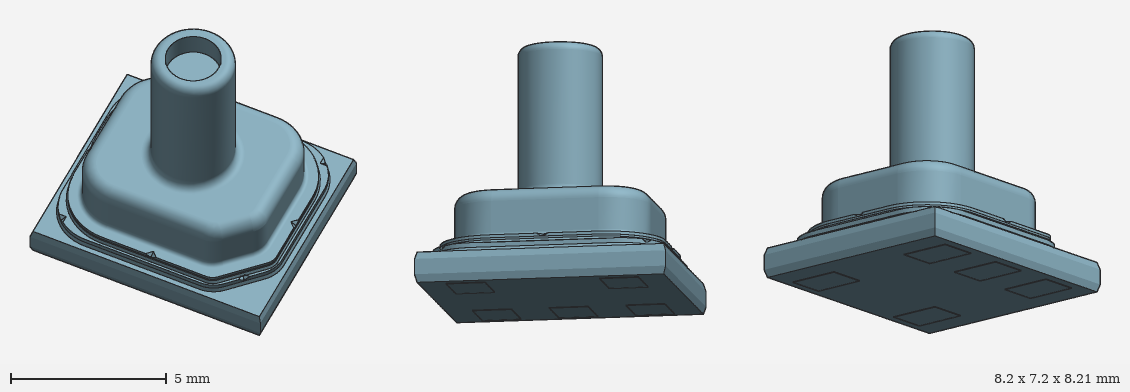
import cadquery as cq
import math

SLAB_X = 8.2
SLAB_Y = 7.2
SLAB_BOTTOM = 0.025
SLAB_TOP = 1.02
BEVEL_HEIGHT = 0.25
BEVEL_INSET = 0.07

LOWER_HALF_X = 3.79
LOWER_HALF_Y = 3.3
LOWER_CORNER_R = 1.5
LOWER_CUT = 1.56
LOWER_CUT_R = 1.0
LOWER_TOP = 1.305
LOWER_SKIRT = 0.13

HAT_HALF_X = 3.19
HAT_HALF_Y = 2.7
HAT_CORNER_R = 1.445
HAT_CUT = 1.215
HAT_CUT_R = 0.8
HAT_TOP = 3.21
HAT_TOP_FILLET = 0.45
HAT_FOOT_FILLET = 0.3 / 2

RIM_WIDTH = 0.47
RIM_HALF_X = HAT_HALF_X + RIM_WIDTH
RIM_HALF_Y = HAT_HALF_Y + RIM_WIDTH
RIM_CORNER_R = HAT_CORNER_R + RIM_WIDTH
RIM_CUT = 1.495
RIM_CUT_R = 0.5
UPPER_TOP = 1.47
UPPER_SKIRT = 0.1
RIM_TOP = UPPER_TOP + 0.1

SKIRT_FLARE = 0.05

TUBE_D = 2.72
TUBE_TOP = 8.21
TUBE_FILLET = 0.295
BORE_D = 1.8
BORE_DEPTH = 0.81

NOTCH_INSET = 0.19
NOTCH_FLOOR_INSET = 0.04
NOTCH_DEPTH = 0.09
NOTCH_OVERRUN = 0.04

PAD_X = 1.27
PAD_Y = 1.73
PAD_PITCH = 2.5
PAD_ROW_Y = 2.34
PAD_PLACES = [
    (-PAD_PITCH, -PAD_ROW_Y),
    (0, -PAD_ROW_Y),
    (PAD_PITCH, -PAD_ROW_Y),
    (-PAD_PITCH, PAD_ROW_Y),
    (PAD_PITCH, PAD_ROW_Y),
]

PICK = 0.01


def rounded_plate(half_x, half_y, corner_r, cut, cut_r, z_bottom, z_top):
    """Plate with three round corners and a rounded 45 degree cut at the +X, -Y corner."""
    corners = [(half_x, half_y), (-half_x, half_y), (-half_x, -half_y)]
    cut_ends = [(half_x - cut, -half_y), (half_x, cut - half_y)]
    z_middle = (z_bottom + z_top) / 2
    plate = (
        cq.Workplane("XY", origin=(0, 0, z_bottom))
        .polyline(corners + cut_ends)
        .close()
        .extrude(z_top - z_bottom)
    )
    for points, radius in [(cut_ends, cut_r), (corners, corner_r)]:
        for x, y in points:
            plate = plate.edges(cq.NearestToPointSelector((x, y, z_middle))).fillet(radius)
    return plate


def rim_plate(z_bottom, z_top):
    """Plate with the outline shared by the rim and the upper step."""
    return rounded_plate(RIM_HALF_X, RIM_HALF_Y, RIM_CORNER_R, RIM_CUT, RIM_CUT_R, z_bottom, z_top)


def on_skirt(plate, height):
    """Add a skirt under a plate that spreads from its outline toward the bottom."""
    flare_angle = math.degrees(math.atan(SKIRT_FLARE / height))
    outline = plate.faces("<Z").wires().toPending().workplane()
    return plate.union(outline.extrude(height, combine=False, taper=-flare_angle))


def cut_notches(body, places, z):
    """Cut V notches into a top edge; each place is an edge point and its inward angle."""
    top_v = NOTCH_INSET + NOTCH_OVERRUN
    floor_v = NOTCH_FLOOR_INSET + NOTCH_OVERRUN
    cutter = (
        cq.Workplane("XY", origin=(-NOTCH_OVERRUN, 0, 0))
        .polyline([(0, -top_v), (top_v, 0), (0, top_v)])
        .close()
        .workplane(offset=-NOTCH_DEPTH)
        .polyline([(0, -floor_v), (floor_v, 0), (0, floor_v)])
        .close()
        .loft(ruled=True)
    )
    for x, y, angle in places:
        body = body.cut(cutter.rotate((0, 0, 0), (0, 0, 1), angle).translate((x, y, z)))
    return body


def fillet_foot(body, z, radius):
    """Fillet round the foot of whatever rises from the flat face at height z."""
    low_corner = (-SLAB_X, -SLAB_Y, z - PICK)
    high_corner = (SLAB_X, SLAB_Y, z + PICK)
    shoulder = body.faces(cq.selectors.BoxSelector(low_corner, high_corner)).val()
    return body.newObject(shoulder.innerWires()[0].Edges()).fillet(radius)


def make_slab():
    bevel_angle = math.degrees(math.atan(BEVEL_INSET / BEVEL_HEIGHT))
    middle_height = SLAB_TOP - SLAB_BOTTOM - 2 * BEVEL_HEIGHT
    slab = (
        cq.Workplane("XY", origin=(0, 0, SLAB_BOTTOM + BEVEL_HEIGHT))
        .rect(SLAB_X, SLAB_Y)
        .extrude(middle_height)
    )
    for side in (">Z", "<Z"):
        face = slab.faces(side).workplane(centerOption="CenterOfMass")
        slab = slab.union(face.rect(SLAB_X, SLAB_Y).extrude(BEVEL_HEIGHT, combine=False, taper=bevel_angle))
    return slab


def make_lower_step():
    plate = rounded_plate(
        LOWER_HALF_X, LOWER_HALF_Y, LOWER_CORNER_R, LOWER_CUT, LOWER_CUT_R,
        SLAB_TOP + LOWER_SKIRT, LOWER_TOP,
    )
    arc_inset = LOWER_CORNER_R * (1 - math.sqrt(0.5))
    arc_x = LOWER_HALF_X - arc_inset
    arc_y = LOWER_HALF_Y - arc_inset
    cut_x = LOWER_HALF_X - LOWER_CUT / 2
    cut_y = LOWER_HALF_Y - LOWER_CUT / 2
    places = [(arc_x, arc_y, 225), (-arc_x, arc_y, 315), (-arc_x, -arc_y, 45), (cut_x, -cut_y, 135)]
    return cut_notches(on_skirt(plate, LOWER_SKIRT), places, LOWER_TOP)


def make_base():
    upper_step = on_skirt(rim_plate(LOWER_TOP + UPPER_SKIRT, UPPER_TOP), UPPER_SKIRT)
    return make_slab().union(make_lower_step()).union(upper_step)


def make_lid():
    hat = rounded_plate(HAT_HALF_X, HAT_HALF_Y, HAT_CORNER_R, HAT_CUT, HAT_CUT_R, RIM_TOP, HAT_TOP)
    hat = hat.faces(">Z").edges().fillet(HAT_TOP_FILLET)
    tube = cq.Workplane("XY", origin=(0, 0, HAT_TOP)).circle(TUBE_D / 2).extrude(TUBE_TOP - HAT_TOP)
    tube = tube.faces(">Z").edges().fillet(TUBE_FILLET)

    lid = fillet_foot(rim_plate(UPPER_TOP, RIM_TOP).union(hat), RIM_TOP, HAT_FOOT_FILLET)
    lid = fillet_foot(lid.union(tube), HAT_TOP, TUBE_FILLET)
    lid = lid.faces(">Z").workplane(centerOption="CenterOfMass").hole(BORE_D, BORE_DEPTH)
    places = [(RIM_HALF_X, 0, 180), (-RIM_HALF_X, 0, 0), (0, RIM_HALF_Y, 270), (0, -RIM_HALF_Y, 90)]
    return cut_notches(lid, places, RIM_TOP)


def make_pad(x, y):
    return cq.Workplane("XY").center(x, y).rect(PAD_X, PAD_Y).extrude(SLAB_BOTTOM)


base = make_base()
lid = make_lid()
pads = [make_pad(x, y).val() for x, y in PAD_PLACES]

result = cq.Compound.makeCompound([base.val(), lid.val(), *pads])